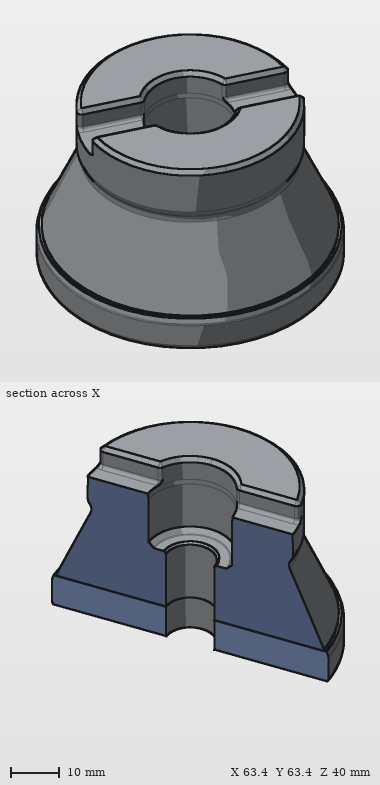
import cadquery as cq

height = 40.0
base_radius = 31.7
base_height = 7.6

bolt_radius = 11.0 / 2
bolt_chamfer = 0.5

top_break_width = 0.5
top_break_height = 1.3
bottom_break_width = 0.4
bottom_break_height = 0.65
rim_round = 1.0

hub_foot_radius = 61.3 / 2
hub_foot_height = 0.4
neck_radius = 22.4
neck_z = 27.1
neck_round = 1.8
head_radius = 47.0 / 2
head_bottom_z = 28.95
head_bottom_round = 1.95
top_chamfer = 0.95

entry_radius = 19.2 / 2
entry_bottom_z = 34.7
bore_radius = 19.05 / 2
bore_top_z = 33.55
bore_floor_z = 21.6
bore_floor_radius = 8.3
bore_floor_chamfer = bore_radius - bore_floor_radius
bore_floor_round = 0.25

slot_width = 8.25
slot_depth = 4.95
slot_floor_z = height - slot_depth
slot_corner_round = 1.0
slot_floor_round = 0.8

tolerance = 0.005


def revolve_outline(points):
    """Turn a closed (radius, z) outline about the Z axis."""
    return cq.Workplane("XZ").polyline(points).close().revolve(360, (0, 0, 0), (0, 1, 0))


def round_rim(body, radius, z, rounding):
    """Round the circular edge that has the given radius and height."""
    def is_rim(edge):
        box = edge.BoundingBox()
        return abs(box.xmax - radius) < tolerance and abs(box.zmin - z) < tolerance and box.zlen < tolerance

    return body.edges("%CIRCLE").filter(is_rim).fillet(rounding)


def make_base():
    top_break_z = base_height - top_break_height
    disc = revolve_outline([
        (bolt_radius, 0),
        (base_radius - bottom_break_width, 0),
        (base_radius, bottom_break_height),
        (base_radius, top_break_z),
        (base_radius - top_break_width, base_height),
        (bolt_radius, base_height),
    ])
    for z in (bottom_break_height, top_break_z):
        disc = round_rim(disc, base_radius, z, rim_round)
    return disc


def make_hub_blank():
    """The hub with its stepped bore, before the drive slot is cut."""
    blank = revolve_outline([
        (bolt_radius, base_height),
        (hub_foot_radius, base_height),
        (hub_foot_radius, base_height + hub_foot_height),
        (neck_radius, neck_z),
        (head_radius, head_bottom_z),
        (head_radius, height),
        (entry_radius, height),
        (entry_radius, entry_bottom_z),
        (bore_radius, bore_top_z),
        (bore_radius, bore_floor_z + bore_floor_chamfer),
        (bore_floor_radius, bore_floor_z),
        (bolt_radius + bolt_chamfer, bore_floor_z),
        (bolt_radius, bore_floor_z - bolt_chamfer),
    ])
    blank = round_rim(blank, neck_radius, neck_z, neck_round)
    blank = round_rim(blank, head_radius, head_bottom_z, head_bottom_round)
    return round_rim(blank, bore_floor_radius, bore_floor_z, bore_floor_round)


def make_lands():
    """The two raised halves of the head on either side of the slot, with rounded corners."""
    ring = (
        cq.Workplane("XY", origin=(0, 0, slot_floor_z))
        .circle(head_radius)
        .circle(entry_radius)
        .extrude(slot_depth)
    )
    slot = (
        cq.Workplane("XY", origin=(0, 0, slot_floor_z))
        .rect(slot_width, 2 * base_radius)
        .extrude(slot_depth)
    )
    return ring.cut(slot).edges("|Z").fillet(slot_corner_round)


def make_slot_cutter():
    """All the space around the lands, rounded where it meets their feet."""
    cutter = (
        cq.Workplane("XY", origin=(0, 0, slot_floor_z))
        .circle(base_radius)
        .extrude(slot_depth)
        .cut(make_lands())
    )

    def is_land_foot(edge):
        return edge.BoundingBox().xmax < head_radius + tolerance

    return cutter.faces("<Z").edges().filter(is_land_foot).fillet(slot_floor_round)


def make_hub():
    hub = make_hub_blank().cut(make_slot_cutter())
    return hub.faces(">Z").edges().chamfer(top_chamfer).solids()


base = make_base()
hub = make_hub()

result = cq.Compound.makeCompound([base.val(), hub.val()])